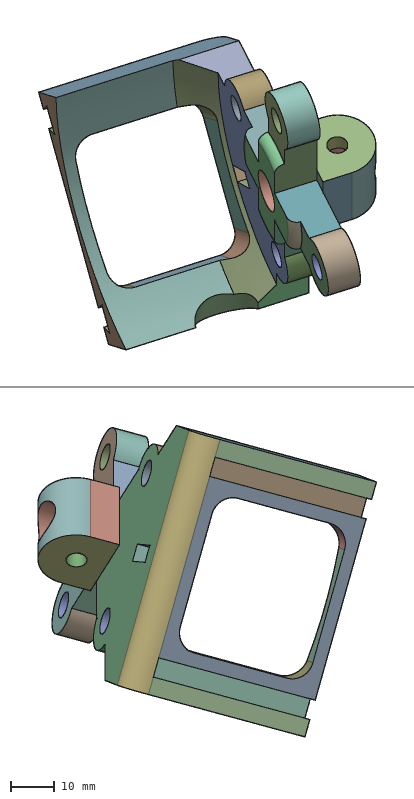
import cadquery as cq
import math

arm_width = 10.0
lug_distance = 25.0
lug_radius = 7.0
lug_hole_diameter = 6.2
centre_hole_diameter = 10.1
plate_thickness = 8.0

hub_radius = 15.7
hub_height = 2.5
hub_fillet = 2.4

wall_distance = 46.95
wall_half_width = 30.5
body_depth = 45.0
body_overlap = 0.15
back_fillet = 6.0

cavity_radius = 44.0
cone_height = 8.0
cavity_floor_radius = cavity_radius - cone_height

window_width = 37.0
window_margin = 3.0
window_corner_radius = 5.0

groove_offset = 24.0
groove_depth = 4.1
groove_mouth = 4.6
groove_base = 6.85

notch_radius = 7.5
notch_depth = 20.15

slot_near = 25.9
slot_far = 35.7
slot_width = 4.1
slot_skew = 0.4

tab_radius = 8.75
tab_length = 16.0
tab_hole_diameter = 4.8
tab_hole_distance = 7.1

front_plane = cq.Plane(origin=(0, 0, 0), xDir=(1, 0, 0), normal=(0, -1, 0))
wall_plane = cq.Plane(origin=(0, 0, 0), xDir=(1, 0, -1), normal=(0, -1, 0))
lug_centres = [(lug_distance, 0), (0, lug_distance), (-lug_distance, 0), (0, -lug_distance)]


def make_cross(length, depth):
    across = cq.Workplane(front_plane).rect(2 * length, arm_width).extrude(depth)
    upright = cq.Workplane(front_plane).rect(arm_width, 2 * length).extrude(depth)
    return across.union(upright)


def make_lug_cylinders(radius):
    return cq.Workplane(front_plane).pushPoints(lug_centres).circle(radius).extrude(plate_thickness)


def make_body():
    end_corner = math.sqrt(2) * wall_half_width
    far_corner = (wall_distance + wall_half_width) / math.sqrt(2)
    near_corner = far_corner - end_corner
    outline = [
        (body_overlap, body_overlap),
        (body_overlap - end_corner, body_overlap),
        (-far_corner, -near_corner),
        (-near_corner, -far_corner),
        (body_overlap, body_overlap - end_corner),
    ]
    body = cq.Workplane(front_plane).polyline(outline).close().extrude(body_depth)
    outer_back_edge = cq.NearestToPointSelector(
        (-wall_distance / math.sqrt(2), 0, -wall_distance / math.sqrt(2))
    )
    body = body.edges(outer_back_edge).fillet(back_fillet)
    return body.cut(make_cavity())


def make_cavity():
    profile = [
        (0, -plate_thickness),
        (cavity_floor_radius, -plate_thickness),
        (cavity_radius, -plate_thickness - cone_height),
        (cavity_radius, -body_depth),
        (0, -body_depth),
    ]
    return cq.Workplane("XY").polyline(profile).close().revolve(360, (0, 0), (0, 1))


def make_window():
    y_back = back_fillet + window_margin
    y_front = body_depth - window_margin
    return (
        cq.Workplane(wall_plane)
        .workplane(offset=y_back)
        .center(0, -wall_distance / 2)
        .rect(window_width, wall_distance)
        .extrude(y_front - y_back)
        .edges("|(1, 0, 1)")
        .fillet(window_corner_radius)
    )


def make_groove(centre):
    outline = [
        (centre - groove_mouth / 2, -wall_distance),
        (centre - groove_base / 2, -wall_distance + groove_depth),
        (centre + groove_base / 2, -wall_distance + groove_depth),
        (centre + groove_mouth / 2, -wall_distance),
    ]
    start = cq.Workplane(wall_plane).workplane(offset=back_fillet)
    return start.polyline(outline).close().extrude(body_depth - back_fillet)


def make_notch():
    reach = 2 * wall_distance
    return (
        cq.Workplane("XY")
        .center(0, -notch_depth)
        .circle(notch_radius)
        .extrude(-reach)
    )


def make_slot():
    outline = [
        (slot_skew - slot_width / 2, -slot_near),
        (slot_skew + slot_width / 2, -slot_near),
        (-slot_skew + slot_width / 2, -slot_far),
        (-slot_skew - slot_width / 2, -slot_far),
    ]
    return cq.Workplane(wall_plane).polyline(outline).close().extrude(plate_thickness)


def make_hub():
    total_depth = plate_thickness + hub_height
    disc = cq.Workplane(front_plane).circle(hub_radius).extrude(total_depth)
    disc = disc.faces("<Y").edges().fillet(hub_fillet)
    return disc.intersect(make_cross(hub_radius, total_depth))


def make_tab():
    straight = tab_length - tab_radius
    start = cq.Workplane("XY").workplane(offset=-tab_radius)
    cross_hole = (
        start.center(0, tab_hole_distance)
        .circle(tab_hole_diameter / 2)
        .extrude(2 * tab_radius)
    )
    return (
        start.moveTo(-tab_radius, 0)
        .lineTo(-tab_radius, straight)
        .threePointArc((0, tab_length), (tab_radius, straight))
        .lineTo(tab_radius, 0)
        .close()
        .extrude(2 * tab_radius)
        .cut(cross_hole)
    )


def make_centre_bore():
    bore_length = tab_length + plate_thickness + hub_height
    start = cq.Workplane(front_plane).workplane(offset=-tab_length)
    return start.circle(centre_hole_diameter / 2).extrude(bore_length)


part = make_body()
part = part.cut(make_window())
part = part.cut(make_notch())
part = part.cut(make_slot())
for side in (-1, 1):
    part = part.cut(make_groove(side * groove_offset))

part = part.union(make_cross(lug_distance, plate_thickness))
part = part.union(make_lug_cylinders(lug_radius))
part = part.union(make_hub())
part = part.union(make_tab())
part = part.cut(make_lug_cylinders(lug_hole_diameter / 2))
result = part.cut(make_centre_bore())